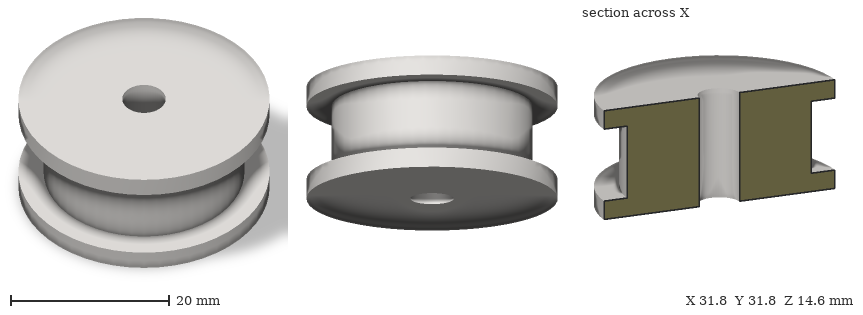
import cadquery as cq

flange_diameter = 31.75
hub_diameter = 25.4
bore_diameter = 5.5
total_height = 14.55
flange_thickness = 2.5

hub_height = total_height - 2 * flange_thickness


def disc(diameter, height, base_z):
    """Solid cylinder on the Z axis, standing on base_z."""
    return cq.Workplane("XY").workplane(offset=base_z).circle(diameter / 2).extrude(height)


bottom_z = -total_height / 2
lower_flange = disc(flange_diameter, flange_thickness, bottom_z)
hub = disc(hub_diameter, hub_height, bottom_z + flange_thickness)
upper_flange = disc(flange_diameter, flange_thickness, bottom_z + flange_thickness + hub_height)

bore = disc(bore_diameter, total_height, bottom_z)

result = lower_flange.union(hub).union(upper_flange).cut(bore)